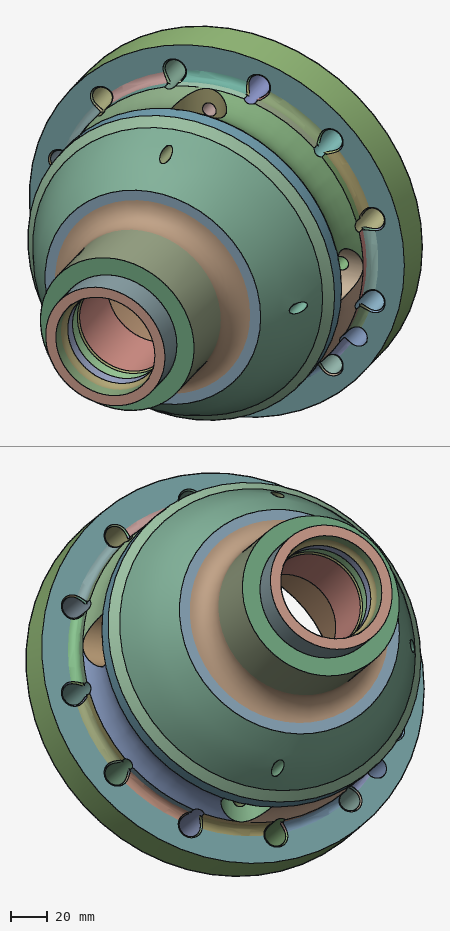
import cadquery as cq
import math

flange_thickness = 25.0
neck_fillet = 4.8
neck_start = flange_thickness + neck_fillet
cross_hole_station = 50.0
cross_hole_diameter = 30.0
groove_half_width = 15.0
rim_front = 74.5
rim_chamfer_end = 79.5
dome_end = 114.0
hub_shoulder = 163.5
total_length = 180.0

flange_radius = 110.0
rim_radius = 90.0
groove_bottom_radius = 84.5
dome_radius = 90.0
hub_radius = 45.0
spigot_radius = 35.0
hub_fillet = 12.0

cavity_radius = 68.5
bore_radius = 27.0
mouth_radius = 29.0
relief_radius = 28.0
mouth_end = 172.5
mouth_arc_end = 168.0
relief_front = 161.5
relief_rear = 151.5
relief_chamfer = 1.0

bolt_count = 12
bolt_angles = [(i + 0.5) * 360 / bolt_count for i in range(bolt_count)]
bolt_circle_radius = 95.0
bolt_diameter = 12.0
bolt_edge_chamfer = 0.9

dowel_angle = -30.0
dowel_diameter = 11.9

pin_circle_radius = 77.5
pin_diameter = 6.2
pin_exit_diameter = 8.0
pin_angles = (0, 90, 270)

tolerance = 0.02


def dome_radius_at(station):
    """Radius of the spherical dome, centred on the cross holes, at a station along the axis."""
    return math.sqrt(dome_radius**2 - (station - cross_hole_station) ** 2)


def turned_about_axis(outline):
    """Close an outline drawn in X (radius) and Y (station) and revolve it about the Y axis."""
    return outline.close().revolve(360, (0, 0, 0), (0, 1, 0))


def plain_flange():
    """Flange disc with the concave fillet that leads into the neck."""
    return turned_about_axis(
        cq.Workplane("XY")
        .lineTo(flange_radius, 0)
        .lineTo(flange_radius, -flange_thickness)
        .lineTo(rim_radius + neck_fillet, -flange_thickness)
        .radiusArc((rim_radius, -neck_start), -neck_fillet)
        .lineTo(0, -neck_start)
    )


def plain_case():
    """Grooved neck, rim, spherical dome, hub and spigot in front of the flange fillet."""
    dome_middle = (rim_chamfer_end + dome_end) / 2
    return turned_about_axis(
        cq.Workplane("XY")
        .moveTo(0, -neck_start)
        .lineTo(rim_radius, -neck_start)
        .lineTo(rim_radius, -cross_hole_station + groove_half_width)
        .threePointArc(
            (groove_bottom_radius, -cross_hole_station),
            (rim_radius, -cross_hole_station - groove_half_width),
        )
        .lineTo(rim_radius, -rim_front)
        .lineTo(dome_radius_at(rim_chamfer_end), -rim_chamfer_end)
        .threePointArc((dome_radius_at(dome_middle), -dome_middle), (dome_radius_at(dome_end), -dome_end))
        .lineTo(hub_radius + hub_fillet, -dome_end)
        .radiusArc((hub_radius, -dome_end - hub_fillet), -hub_fillet)
        .lineTo(hub_radius, -hub_shoulder)
        .lineTo(spigot_radius, -hub_shoulder)
        .lineTo(spigot_radius, -total_length)
        .lineTo(0, -total_length)
    )


def inside_space():
    """Join the stepped bore and the cavity, which opens through the rear face."""
    mouth_step = mouth_radius - bore_radius
    mouth_arc_length = mouth_end - mouth_arc_end
    mouth_arc_radius = (mouth_step**2 + mouth_arc_length**2) / (2 * mouth_step)
    bore = turned_about_axis(
        cq.Workplane("XY")
        .lineTo(bore_radius, 0)
        .lineTo(bore_radius, -relief_rear)
        .lineTo(relief_radius, -relief_rear - relief_chamfer)
        .lineTo(relief_radius, -relief_front)
        .lineTo(bore_radius, -relief_front)
        .lineTo(bore_radius, -mouth_arc_end)
        .radiusArc((mouth_radius, -mouth_end), mouth_arc_radius)
        .lineTo(mouth_radius, -total_length)
        .lineTo(0, -total_length)
    )
    ball = cq.Workplane("XY").sphere(cavity_radius).translate((0, -cross_hole_station, 0))
    opening = axial_hole(0, 0, 2 * cavity_radius, cross_hole_station)
    return bore.union(ball).union(opening)


def polar_position(radius, angle):
    """X and Z of a point given by its radius and angle in degrees about the Y axis."""
    return radius * math.cos(math.radians(angle)), radius * math.sin(math.radians(angle))


def axial_hole(radius, angle, diameter, depth):
    """Cylinder from the rear face forward, at a polar position about the axis."""
    return cq.Workplane("XZ").center(*polar_position(radius, angle)).circle(diameter / 2).extrude(depth)


def drill_bolt_circle(body):
    """Drill the bolt holes, which leave open notches where they overlap the neck."""
    for angle in bolt_angles:
        body = body.cut(axial_hole(bolt_circle_radius, angle, bolt_diameter, cross_hole_station))
    return body


def is_bolt_hole_rim(edge):
    """Tell whether an edge is where a bolt hole meets the flange face or its fillet."""
    middle = edge.positionAt(0.5)
    if not -neck_start + tolerance < middle.y < -flange_thickness + tolerance:
        return False
    for angle in bolt_angles:
        x, z = polar_position(bolt_circle_radius, angle)
        if abs(math.hypot(middle.x - x, middle.z - z) - bolt_diameter / 2) < tolerance:
            return edge.BoundingBox().ymax < -flange_thickness + tolerance
    return False


def drilled_flange():
    """Flange with its bolt holes, their front edges chamfered as far as the end of the fillet."""
    flange = drill_bolt_circle(plain_flange())
    return flange.edges().filter(is_bolt_hole_rim).chamfer(bolt_edge_chamfer)


def add_cross_holes(body):
    """Drill the two cross holes through the cavity centre, along Z and along X."""
    for plane in ("XY", "YZ"):
        drill = cq.Workplane(plane).circle(cross_hole_diameter / 2).extrude(flange_radius, both=True)
        body = body.cut(drill.translate((0, -cross_hole_station, 0)))
    return body


def add_pin_holes(body):
    """Drill the locking pin holes, wider between the cross holes and the rear face."""
    for angle in pin_angles:
        pin_hole = axial_hole(pin_circle_radius, angle, pin_diameter, total_length)
        pin_exit = axial_hole(pin_circle_radius, angle, pin_exit_diameter, cross_hole_station)
        body = body.cut(pin_hole).cut(pin_exit)
    return body


body = drilled_flange().union(drill_bolt_circle(plain_case()))
body = body.cut(axial_hole(bolt_circle_radius, dowel_angle, dowel_diameter, cross_hole_station))
body = body.cut(inside_space())
body = add_cross_holes(body)
result = add_pin_holes(body)